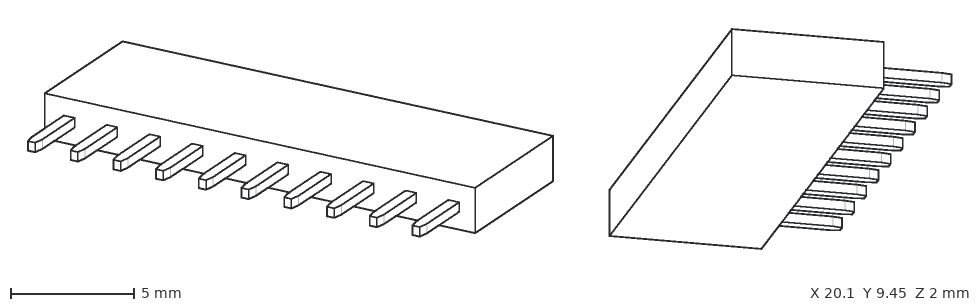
import cadquery as cq

housing_length = 20.15
housing_depth = 6.37
housing_height = 2.0

overall_depth = 9.45
pin_count = 10
pin_row_span = 18.0
pin_row_offset = 0.08
pin_width = 0.5
pin_thickness = 0.42
tip_width = 0.35
tip_length = 0.42

pin_length = overall_depth - housing_depth
pin_pitch = pin_row_span / (pin_count - 1)
first_pin_x = pin_row_offset - pin_row_span / 2


def make_housing():
    return cq.Workplane("XY").box(
        housing_length, housing_depth, housing_height, centered=(True, False, True)
    )


def make_pin(center_x):
    """Blade of constant thickness whose sides taper toward the tip."""
    shoulder_y = tip_length - pin_length
    outline = [
        (-pin_width / 2, 0),
        (-pin_width / 2, shoulder_y),
        (-tip_width / 2, -pin_length),
        (tip_width / 2, -pin_length),
        (pin_width / 2, shoulder_y),
        (pin_width / 2, 0),
    ]
    blade = cq.Workplane("XY").polyline(outline).close().extrude(pin_thickness / 2, both=True)
    return blade.translate((center_x, 0, 0))


result = make_housing()
for index in range(pin_count):
    result = result.union(make_pin(first_pin_x + index * pin_pitch))